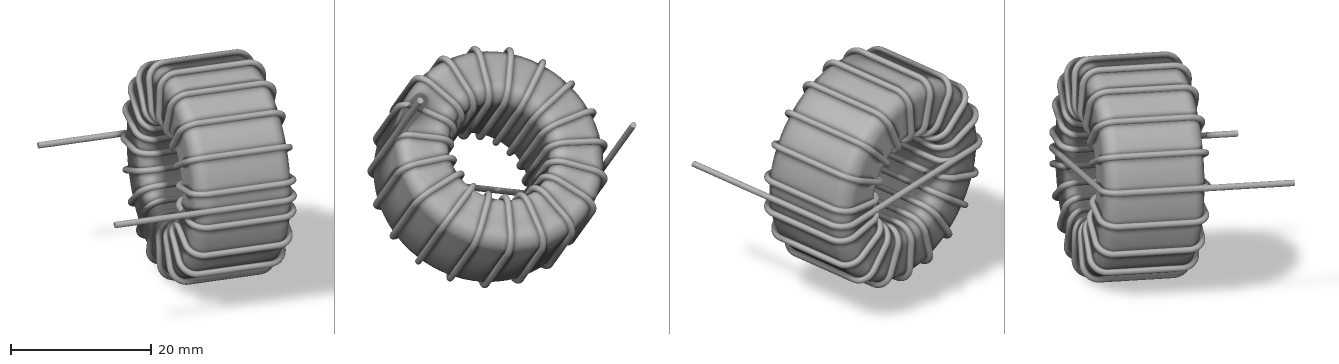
import cadquery as cq

CORE_OUTER_R = 15.4
CORE_INNER_R = 7.6
CORE_LENGTH = 14.8
CORE_EDGE_R = 1.95

TURNS = 19
WIRE_R = 0.45
WIRE_SINK = 0.03
LEAD_SHEATH = 0.003
LEFT_LEAD_R = WIRE_R + LEAD_SHEATH
FIRST_TURN_ANGLE = 180.0
TURN_PITCH = 360.0 / TURNS
LEAD_TIP_Y = -20.09

CENTRE_OFFSET = WIRE_R - WIRE_SINK
LOOP_OUTER_R = CORE_OUTER_R + CENTRE_OFFSET
LOOP_INNER_R = CORE_INNER_R - CENTRE_OFFSET
LOOP_LENGTH = CORE_LENGTH + 2 * CENTRE_OFFSET
LOOP_CORNER_R = CORE_EDGE_R + CENTRE_OFFSET
LOOP_BACK_Y = LOOP_LENGTH / 2
STRAIGHT_HALF_Y = LOOP_BACK_Y - LOOP_CORNER_R
FLAT_OUTER_R = LOOP_OUTER_R - LOOP_CORNER_R
FLAT_INNER_R = LOOP_INNER_R + LOOP_CORNER_R


def make_core():
    """Ring with all four edges rounded."""
    ring = (
        cq.Workplane("XZ", origin=(0, CORE_LENGTH / 2, 0))
        .circle(CORE_OUTER_R)
        .circle(CORE_INNER_R)
        .extrude(CORE_LENGTH)
    )
    return ring.edges("%CIRCLE").fillet(CORE_EDGE_R)


def make_turn():
    """One closed turn of wire around the ring section, lying on the +X side."""
    rear, front = LOOP_BACK_Y, -LOOP_BACK_Y
    path = (
        cq.Workplane("XY")
        .moveTo(LOOP_OUTER_R, -STRAIGHT_HALF_Y)
        .lineTo(LOOP_OUTER_R, STRAIGHT_HALF_Y)
        .tangentArcPoint((FLAT_OUTER_R, rear), relative=False)
        .lineTo(FLAT_INNER_R, rear)
        .tangentArcPoint((LOOP_INNER_R, STRAIGHT_HALF_Y), relative=False)
        .lineTo(LOOP_INNER_R, -STRAIGHT_HALF_Y)
        .tangentArcPoint((FLAT_INNER_R, front), relative=False)
        .lineTo(FLAT_OUTER_R, front)
        .tangentArcPoint((LOOP_OUTER_R, -STRAIGHT_HALF_Y), relative=False)
        .close()
    )
    start = cq.Workplane("XZ", origin=(LOOP_OUTER_R, -STRAIGHT_HALF_Y, 0))
    return start.circle(WIRE_R).sweep(path)


def make_left_lead():
    """Straight lead along the -X side, sheathing the whole outer run of the first turn.

    Its slightly larger radius makes the front bend of the turn leave it cleanly.
    """
    start = cq.Workplane("XZ", origin=(-LOOP_OUTER_R, STRAIGHT_HALF_Y, 0))
    return start.circle(LEFT_LEAD_R).extrude(STRAIGHT_HALF_Y - LEAD_TIP_Y)


def make_right_lead():
    """Lead along the +X side that bends over the rear and crosses to the first turn."""
    path = (
        cq.Workplane("XY")
        .moveTo(LOOP_OUTER_R, LEAD_TIP_Y)
        .lineTo(LOOP_OUTER_R, STRAIGHT_HALF_Y)
        .tangentArcPoint((FLAT_OUTER_R, LOOP_BACK_Y), relative=False)
        .lineTo(-FLAT_INNER_R, LOOP_BACK_Y)
    )
    start = cq.Workplane("XZ", origin=(LOOP_OUTER_R, LEAD_TIP_Y, 0))
    return start.circle(WIRE_R).sweep(path)


result = make_core()
turn = make_turn()
for index in range(TURNS):
    angle = FIRST_TURN_ANGLE + index * TURN_PITCH
    result = result.union(turn.rotate((0, 0, 0), (0, 1, 0), angle))
result = result.union(make_right_lead()).union(make_left_lead())